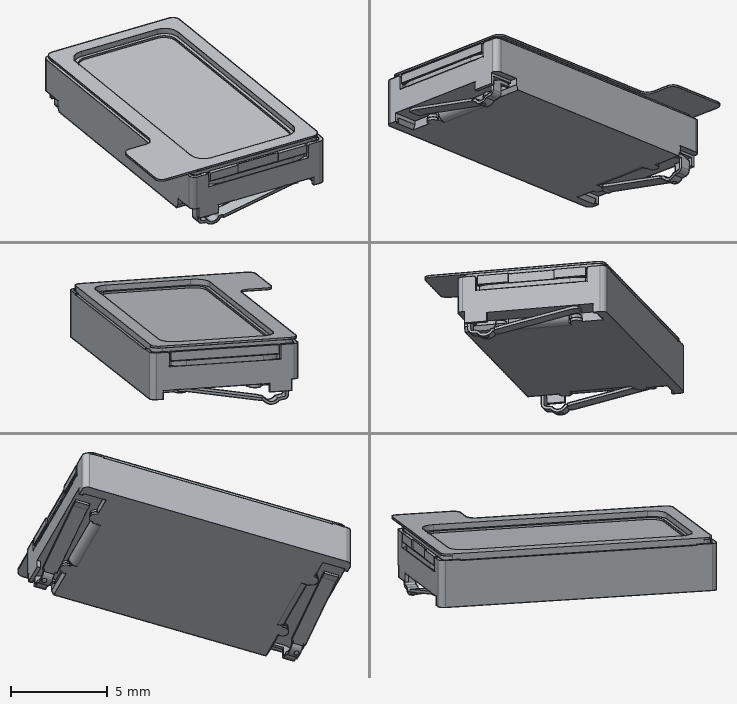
import cadquery as cq
import math


LENGTH = 15.0
DEPTH = 8.01
HEIGHT = 2.49
CORNER_RADIUS = 0.3
HALF_LENGTH = LENGTH / 2

COVER_INSET = 0.2
COVER_BACK = 0.16
COVER_THICKNESS = 0.1
COVER_RADIUS = 0.4
GASKET_THICKNESS = 0.2
GASKET_INSET = 0.21
GASKET_FRONT = 7.83
GASKET_RADIUS = 0.51
SEAT_DEPTH = 0.05
SEAT_RADIUS = 0.2
FLAP_FRONT = 9.88
FLAP_LEFT = 3.62
FLAP_ROOT_RADIUS = 0.5

OPENING_INSET = 0.93
OPENING_RADIUS = 0.8
PANEL_INSET = 1.12
PANEL_RADIUS = 0.72
PANEL_DROP = 0.1

BACK_STEP_DEPTH = 0.05

RECESS_BACK = 0.99
RECESS_FRONT = 7.0
RECESS_FLOOR = 1.71
RECESS_DEPTH = 0.22
RECESS_LIP_RADIUS = 0.09
TAB_GAP = 0.1
TAB_BOTTOM = 1.98
TAB_CHAMFER = 0.05
RELIEF_BACK = 2.79
RELIEF_FRONT = 5.25
RELIEF_DEPTH = 0.09
BULGE_GAP = 0.15
BULGE_END = 0.78
BULGE_SET_BACK = 0.03

CHANNEL_WALL = 0.2
CHANNEL_INNER = 1.44
CHANNEL_HEIGHT = 0.46
CHANNEL_BACK = 0.68
WINDOW_FRONT = 6.42
ROUNDED_EDGE_FRONT = 5.64
ROUNDED_EDGE_BACK = DEPTH - ROUNDED_EDGE_FRONT
ROUNDED_EDGE_RADIUS = 0.45
NOTCH_BACK = 7.6
NOTCH_HEIGHT = 0.62
BEVEL_WIDTH = 0.14
BEVEL_HEIGHT = 0.25
POST_RADIUS = 0.28
POST_HEIGHT = 0.35
POST_FOOT_RADIUS = 0.32
POST_FOOT_HEIGHT = 0.16

SHEET = 0.15
ARM_OUTER = 0.15
ARM_INNER = 0.95
LEG_OUTER = 0.25
LEG_INNER = 0.84
BASE_BACK = 1.53
ARM_BACK = 1.88
WIDE_FRONT = 6.05
ARM_FRONT = 6.2
ARM_END = -0.42
DIP_CENTRE = 6.57
DIP_LEVEL = -0.65
DIP_END = 6.96
DIP_END_LEVEL = -0.46
LEG_CENTRE = 7.42
LEG_BOTTOM = -0.24
BEND_RADIUS = 0.18
SHOULDER_WIDTH = 0.45
SHOULDER_HEIGHT = 0.18
HOOK_INNER = 1.41
HOOK_HEIGHT = 0.18
HOOK_CHAMFER = 0.08
DIMPLE_OUTER = 0.45
DIMPLE_RADIUS = 0.21
SPRING_BOTTOM = -0.76


def block(left, right, back, front, bottom, top):
    """Box between two X values, two distances from the back face and two heights."""
    return cq.Workplane("XY").box(right - left, front - back, top - bottom, centered=False).translate(
        (left, -front, bottom)
    )


def rounded_block(inset, back, front, bottom, top, radius):
    """Box inset equally from both ends, with rounded vertical edges."""
    plain = block(-HALF_LENGTH + inset, HALF_LENGTH - inset, back, front, bottom, top)
    return plain.edges("|Z").fillet(radius)


def on_both_ends(body):
    """The body together with its mirror image at the other end."""
    return [body, body.mirror("YZ")]


def cover():
    """Thin sheet with a flap that reaches forward past the housing."""
    left = -HALF_LENGTH + COVER_INSET
    bottom = HEIGHT + GASKET_THICKNESS
    top = bottom + COVER_THICKNESS
    sheet = block(left, -left, COVER_BACK, DEPTH, bottom, top)
    flap = block(FLAP_LEFT, -left, COVER_BACK, FLAP_FRONT, bottom, top)
    root = cq.NearestToPointSelector((FLAP_LEFT, -DEPTH, bottom + COVER_THICKNESS / 2))
    whole = sheet.union(flap)
    whole = whole.edges(cq.StringSyntaxSelector("|Z") - root).fillet(COVER_RADIUS)
    return whole.edges(root).fillet(FLAP_ROOT_RADIUS)


def gasket():
    """Frame between housing and cover, set slightly into the top of the housing."""
    return rounded_block(
        GASKET_INSET, COVER_BACK, GASKET_FRONT, HEIGHT - SEAT_DEPTH, HEIGHT + GASKET_THICKNESS, GASKET_RADIUS
    )


def window_cut(inset, floor, radius):
    """Rounded opening from the given floor up through the cover."""
    top = HEIGHT + GASKET_THICKNESS + COVER_THICKNESS
    return rounded_block(inset, inset, DEPTH - inset, floor, top, radius)


def clip_recess():
    """Recess in the left end wall, open at the top with rounded upper corners."""
    lip_start = HEIGHT - RECESS_LIP_RADIUS
    profile = (
        cq.Workplane("YZ")
        .moveTo(-RECESS_BACK, RECESS_FLOOR)
        .lineTo(-RECESS_BACK, lip_start)
        .radiusArc((-RECESS_BACK + RECESS_LIP_RADIUS, HEIGHT), RECESS_LIP_RADIUS)
        .lineTo(-RECESS_FRONT - RECESS_LIP_RADIUS, HEIGHT)
        .radiusArc((-RECESS_FRONT, lip_start), RECESS_LIP_RADIUS)
        .lineTo(-RECESS_FRONT, RECESS_FLOOR)
        .close()
    )
    return profile.extrude(RECESS_DEPTH).translate((-HALF_LENGTH, 0, 0))


def clip_tab():
    """Tab that hangs flush in the left clip recess."""
    tab = block(
        -HALF_LENGTH,
        -HALF_LENGTH + RECESS_DEPTH,
        RECESS_BACK + TAB_GAP,
        RECESS_FRONT - TAB_GAP,
        TAB_BOTTOM,
        HEIGHT,
    )
    return tab.edges("<X and <Z").chamfer(TAB_CHAMFER)


def clip_bulge():
    """Wall below the clip tab, curving inward at both ends."""
    back = RECESS_BACK + BULGE_GAP
    front = RECESS_FRONT - BULGE_GAP
    foot = -HALF_LENGTH + RECESS_DEPTH
    face = -HALF_LENGTH + BULGE_SET_BACK
    rise = foot - face
    radius = (BULGE_END**2 + rise**2) / (2 * rise)
    return (
        cq.Workplane("XY", origin=(0, 0, RECESS_FLOOR))
        .moveTo(foot, -back)
        .radiusArc((face, -back - BULGE_END), -radius)
        .lineTo(face, -front + BULGE_END)
        .radiusArc((foot, -front), -radius)
        .close()
        .extrude(TAB_BOTTOM - RECESS_FLOOR)
    )


def tab_relief():
    """Shallow hollow in the outer face of the right clip tab."""
    return block(HALF_LENGTH - RELIEF_DEPTH, HALF_LENGTH, RELIEF_BACK, RELIEF_FRONT, TAB_BOTTOM, HEIGHT)


def spring_channel():
    """Space under the left end for a spring: channel, side window and front notch."""
    outer = -HALF_LENGTH + CHANNEL_WALL
    inner = -HALF_LENGTH + CHANNEL_INNER
    channel = block(outer, inner, CHANNEL_BACK, DEPTH, 0, CHANNEL_HEIGHT)
    window = block(-HALF_LENGTH, outer, CHANNEL_BACK, WINDOW_FRONT, 0, CHANNEL_HEIGHT)
    notch = block(-HALF_LENGTH, inner, NOTCH_BACK, DEPTH, 0, NOTCH_HEIGHT)
    bevel = (
        cq.Workplane("XZ", origin=(0, -ROUNDED_EDGE_FRONT, 0))
        .moveTo(inner, 0)
        .lineTo(inner + BEVEL_WIDTH, 0)
        .lineTo(inner, BEVEL_HEIGHT)
        .close()
        .extrude(DEPTH - ROUNDED_EDGE_FRONT)
    )
    back_bevel = (
        cq.Workplane("YZ", origin=(outer, 0, 0))
        .moveTo(-CHANNEL_BACK, 0)
        .lineTo(-CHANNEL_BACK + BEVEL_WIDTH, 0)
        .lineTo(-CHANNEL_BACK, BEVEL_HEIGHT)
        .close()
        .extrude(inner - outer)
    )
    rounded_edge = (
        cq.Workplane("XZ", origin=(0, -ROUNDED_EDGE_BACK, 0))
        .moveTo(inner, 0)
        .lineTo(inner + ROUNDED_EDGE_RADIUS, 0)
        .radiusArc((inner, ROUNDED_EDGE_RADIUS), ROUNDED_EDGE_RADIUS)
        .close()
        .extrude(ROUNDED_EDGE_FRONT - ROUNDED_EDGE_BACK)
    )
    return channel.union(window).union(notch).union(bevel).union(back_bevel).union(rounded_edge)


def channel_posts():
    """Two rounded posts on the inner wall of the left channel, one at each end of its rounded edge."""
    front_post = (ROUNDED_EDGE_FRONT + WINDOW_FRONT) / 2
    back_post = DEPTH - front_post
    inner = -HALF_LENGTH + CHANNEL_INNER
    plan = cq.Workplane("XY").pushPoints([(inner, -back_post), (inner, -front_post)])
    posts = plan.circle(POST_RADIUS).extrude(POST_HEIGHT)
    feet = plan.circle(POST_FOOT_RADIUS).extrude(POST_FOOT_HEIGHT)
    return posts.union(feet)


def make_housing():
    """Housing with its clips, spring channels, gasket, cover and sunken panel."""
    body = rounded_block(0, 0, DEPTH, 0, HEIGHT, CORNER_RADIUS)
    body = body.cut(
        rounded_block(GASKET_INSET, COVER_BACK, GASKET_FRONT, HEIGHT - SEAT_DEPTH, HEIGHT, SEAT_RADIUS)
    )
    step_half = HALF_LENGTH - PANEL_INSET
    body = body.cut(block(-step_half, step_half, 0, COVER_BACK, HEIGHT - BACK_STEP_DEPTH, HEIGHT))
    for recess in on_both_ends(clip_recess()):
        body = body.cut(recess)
    for filler in on_both_ends(clip_tab().union(clip_bulge())):
        body = body.union(filler)
    body = body.cut(tab_relief())
    for channel in on_both_ends(spring_channel()):
        body = body.cut(channel)
    for posts in on_both_ends(channel_posts()):
        body = body.union(posts)
    body = body.union(gasket()).union(cover())
    body = body.cut(window_cut(OPENING_INSET, HEIGHT, OPENING_RADIUS))
    return body.cut(window_cut(PANEL_INSET, HEIGHT - PANEL_DROP, PANEL_RADIUS))


def spring_sheet():
    """Full-width bent sheet along the spring: base, sloping arm, contact dip and upright leg."""
    middle = CHANNEL_HEIGHT - SHEET / 2
    bend_offset = BEND_RADIUS * math.sqrt(0.5)
    bend_middle = (-LEG_CENTRE + BEND_RADIUS - bend_offset, LEG_BOTTOM - bend_offset)
    centre_line = (
        cq.Workplane("YZ")
        .moveTo(SHEET - BASE_BACK, middle)
        .lineTo(-ARM_BACK, middle)
        .lineTo(-ARM_FRONT, ARM_END)
        .threePointArc((-DIP_CENTRE, DIP_LEVEL), (-DIP_END, DIP_END_LEVEL))
        .lineTo(-LEG_CENTRE + BEND_RADIUS, LEG_BOTTOM - BEND_RADIUS)
        .threePointArc(bend_middle, (-LEG_CENTRE, LEG_BOTTOM))
        .lineTo(-LEG_CENTRE, CHANNEL_HEIGHT + SHEET)
    )
    outer = -HALF_LENGTH + ARM_OUTER
    sheet = centre_line.offset2D(SHEET / 2).extrude(ARM_INNER - ARM_OUTER).translate((outer, 0, 0))
    room = block(outer, outer + ARM_INNER - ARM_OUTER, BASE_BACK, DEPTH, SPRING_BOTTOM, CHANNEL_HEIGHT)
    return sheet.intersect(room)


def narrow_front(left, right):
    """Space beside the narrow front part of the spring, between two X values."""
    return block(left, right, WIDE_FRONT, DEPTH, SPRING_BOTTOM, CHANNEL_HEIGHT)


def leg_hook():
    """Arm that reaches inward from the top of the leg."""
    hook = block(
        -HALF_LENGTH + LEG_OUTER + SHOULDER_WIDTH,
        -HALF_LENGTH + HOOK_INNER,
        LEG_CENTRE - SHEET / 2,
        LEG_CENTRE + SHEET / 2,
        CHANNEL_HEIGHT - HOOK_HEIGHT,
        CHANNEL_HEIGHT,
    )
    return hook.edges(">X and >Z").chamfer(HOOK_CHAMFER)


def leg_shoulder():
    """Sloping outer top corner taken off the leg."""
    outer = -HALF_LENGTH + LEG_OUTER
    return (
        cq.Workplane("XZ", origin=(0, SHEET - LEG_CENTRE, 0))
        .moveTo(outer, CHANNEL_HEIGHT)
        .lineTo(outer + SHOULDER_WIDTH, CHANNEL_HEIGHT)
        .lineTo(outer, CHANNEL_HEIGHT - SHOULDER_HEIGHT)
        .close()
        .extrude(2 * SHEET)
    )


def contact_dimple():
    """Ball-shaped bump at the lowest point of the spring."""
    ball = cq.Workplane("XY").sphere(DIMPLE_RADIUS)
    ball = ball.translate((-HALF_LENGTH + DIMPLE_OUTER, -DIP_CENTRE, SPRING_BOTTOM + DIMPLE_RADIUS))
    room = block(-HALF_LENGTH, 0, ARM_FRONT, DIP_END, SPRING_BOTTOM, DIP_LEVEL)
    return ball.intersect(room)


def make_spring():
    """Contact spring of the left end."""
    left = -HALF_LENGTH
    body = spring_sheet()
    body = body.cut(narrow_front(left + ARM_OUTER, left + LEG_OUTER))
    body = body.cut(narrow_front(left + LEG_INNER, left + ARM_INNER))
    body = body.cut(leg_shoulder())
    return body.union(leg_hook()).union(contact_dimple())


housing = make_housing()
springs = on_both_ends(make_spring())

result = cq.Compound.makeCompound([housing.val(), *[spring.val() for spring in springs]])